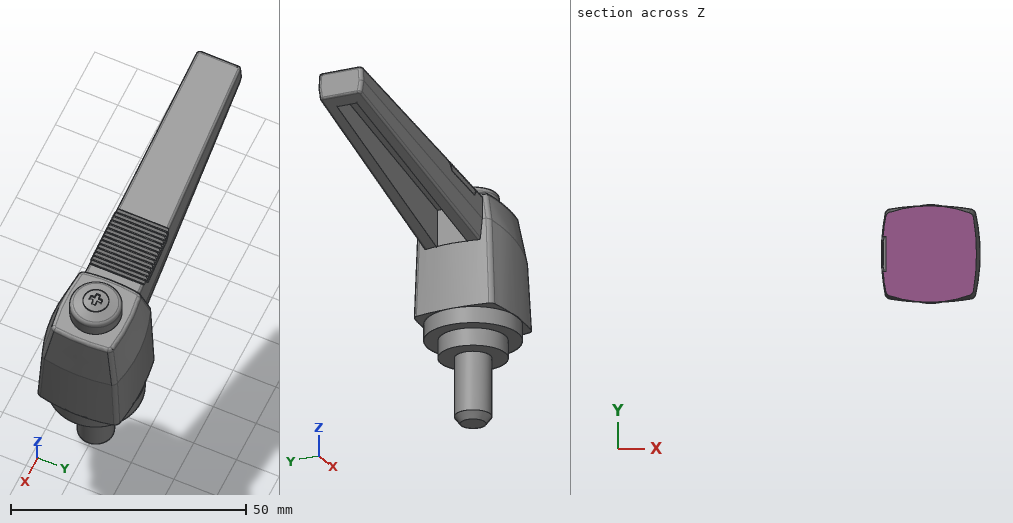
import cadquery as cq
import math


stud_diameter = 8.0
stud_tip_diameter = 5.5
stud_chamfer_height = 1.6
collar_diameter = 15.0
collar_bottom_z = 15.0
flange_diameter = 21.0
flange_bottom_z = 18.95
flange_top_z = 22.65

total_length = 73.5
tip_x = flange_diameter / 2 - total_length
root_x = -3.7
tip_top_z = 58.7
tip_parting_z = 55.6
tip_bottom_z = 52.7
top_slope = 0.196
parting_slope = 0.25
bottom_slope = 0.287
tip_half_widths = {"top": 5.1, "parting": 5.3, "bottom": 4.85}
root_half_widths = {"top": 6.5, "parting": 7.3, "bottom": 6.8}
lever_fillet = 0.5
tip_corner_fillet = 0.8

pocket_tip_x = -59.7
pocket_end_x = -9.55
pocket_tip_half_width = 2.35
pocket_end_half_width = 3.7
pocket_roof = 2.2
pocket_overcut = 1.5

grip_start_x = -23.95
grip_end_x = -10.45
tooth_count = 14
tooth_crest_drop = 0.15
tooth_root_drop = 0.6
pad_start_x = -23.5
pad_end_x = -11.2
pad_depth = 2.05
pad_end_run = 1.1
pad_side_offset = 0.3
pad_chamfer_height = 0.7
pad_chamfer_width = 0.45

head_bottom = {
    "left": -9.7, "right": 9.55, "half_width": 9.55,
    "mid_left": -10.5, "mid_right": 10.5, "mid_half_width": 10.3,
}
head_parting = {
    "left": -9.55, "right": 9.1, "half_width": 8.8,
    "mid_left": -10.3, "mid_right": 9.8, "mid_half_width": 10.3,
}
head_top = {
    "left": -7.95, "right": 7.65, "half_width": 7.1,
    "mid_left": -8.4, "mid_right": 8.0, "mid_half_width": 7.65,
}
head_corner_reach = 0.95
head_corner_inset = 0.37
head_fillet = 0.9
head_top_z = 48.65
head_top_slope = 0.055

button_diameter = 11.2
button_bottom_z = 44.1
button_shoulder_z = 51.1
button_crown_z = 52.2
button_crown_diameter = 9.7
insert_diameter = 5.5
insert_base_z = 52.85
insert_edge_z = 53.1
insert_top_z = 54.0
cross_length = 2.7
cross_width = 0.9
cross_depth = 0.9


def lever_top_z(x):
    return tip_top_z - top_slope * (x - tip_x)


def parting_z(x):
    return tip_parting_z - parting_slope * (x - tip_x)


def lever_bottom_z(x):
    return tip_bottom_z - bottom_slope * (x - tip_x)


def head_roof_z(x):
    return head_top_z - head_top_slope * x


def lever_section(x, half_widths):
    """Six-sided section across the lever, widest at the parting line."""
    right_side = [
        (half_widths["bottom"], lever_bottom_z(x)),
        (half_widths["parting"], parting_z(x)),
        (half_widths["top"], lever_top_z(x)),
    ]
    left_side = [(-y, z) for y, z in reversed(right_side)]
    points = [cq.Vector(x, y, z) for y, z in right_side + left_side]
    return cq.Wire.makePolygon(points, close=True)


def make_lever():
    """Solid lever without its grip and pocket."""
    tip = lever_section(tip_x, tip_half_widths)
    root = lever_section(root_x, root_half_widths)
    lever = cq.Workplane(cq.Solid.makeLoft([tip, root], True))
    upright_tip_edges = lever.faces("<X").edges("not |Y")
    lever = upright_tip_edges.fillet(tip_corner_fillet)
    edge_tolerance = 0.15
    outline_edges = []
    for edge in lever.edges().vals():
        middle = edge.Center()
        above_bottom = middle.z - lever_bottom_z(middle.x)
        below_top = lever_top_z(middle.x) - middle.z
        if middle.x < root_x - 0.7 and min(above_bottom, below_top) < edge_tolerance:
            outline_edges.append(edge)
    return lever.newObject(outline_edges).fillet(lever_fillet)


def make_pocket():
    """Tapered pocket, open at the underside of the lever and ending just inside the head."""
    plan = (
        cq.Workplane("XY")
        .polyline([
            (pocket_tip_x, -pocket_tip_half_width),
            (pocket_end_x, -pocket_end_half_width),
            (pocket_end_x, pocket_end_half_width),
            (pocket_tip_x, pocket_tip_half_width),
        ])
        .close()
        .extrude(tip_top_z)
    )
    side = (
        cq.Workplane("XZ")
        .polyline([
            (pocket_tip_x, lever_bottom_z(pocket_tip_x) - pocket_overcut),
            (pocket_tip_x, lever_top_z(pocket_tip_x) - pocket_roof),
            (pocket_end_x, lever_top_z(pocket_end_x) - pocket_roof),
            (pocket_end_x, lever_bottom_z(pocket_end_x)),
        ])
        .close()
        .extrude(flange_diameter / 2, both=True)
    )
    return plan.intersect(side)


def head_section(size, height):
    """Outline with four bowed sides and rounded corners, lying on the surface z = height(x)."""
    left, right, half_width = size["left"], size["right"], size["half_width"]
    r = head_corner_reach
    inset = head_corner_inset * r
    outline = [
        (left + r, -half_width),
        (0, -size["mid_half_width"]),
        (right - r, -half_width),
        (right - inset, -half_width + inset),
        (right, -half_width + r),
        (size["mid_right"], 0),
        (right, half_width - r),
        (right - inset, half_width - inset),
        (right - r, half_width),
        (0, size["mid_half_width"]),
        (left + r, half_width),
        (left + inset, half_width - inset),
        (left, half_width - r),
        (size["mid_left"], 0),
        (left, -half_width + r),
        (left + inset, -half_width + inset),
    ]
    points = [cq.Vector(x, y, height(x)) for x, y in outline]
    points.append(points[0])
    arcs = [cq.Edge.makeThreePointArc(*points[i:i + 3]) for i in range(0, len(outline), 2)]
    return cq.Wire.assembleEdges(arcs)


def make_head():
    """Tapered head that bends inward above the parting line."""
    bottom = head_section(head_bottom, lambda x: flange_top_z)
    parting = head_section(head_parting, parting_z)
    top = head_section(head_top, head_roof_z)
    head = cq.Workplane(cq.Solid.makeLoft([bottom, parting, top], True))
    return head.faces(">Z").edges().fillet(head_fillet)


def make_grip_pad():
    """Straight-sided block flush with the lever top, with slanted ends."""

    def half_width(x):
        share = (x - tip_x) / (root_x - tip_x)
        top = tip_half_widths["top"] + share * (root_half_widths["top"] - tip_half_widths["top"])
        return top + pad_side_offset

    plan = (
        cq.Workplane("XY")
        .polyline([
            (pad_start_x, -half_width(pad_start_x)),
            (pad_end_x, -half_width(pad_end_x)),
            (pad_end_x, half_width(pad_end_x)),
            (pad_start_x, half_width(pad_start_x)),
        ])
        .close()
        .extrude(tip_top_z)
    )
    bottom_start_x = pad_start_x + pad_end_run
    bottom_end_x = pad_end_x - pad_end_run
    side = (
        cq.Workplane("XZ")
        .polyline([
            (pad_start_x, lever_top_z(pad_start_x)),
            (pad_end_x, lever_top_z(pad_end_x)),
            (bottom_end_x, lever_top_z(bottom_end_x) - pad_depth),
            (bottom_start_x, lever_top_z(bottom_start_x) - pad_depth),
        ])
        .close()
        .extrude(flange_diameter / 2, both=True)
    )
    pad = plan.intersect(side)
    top_face = cq.selectors.DirectionMinMaxSelector(cq.Vector(top_slope, 0, 1))
    return pad.faces(top_face).edges("not |Y").chamfer(pad_chamfer_height, pad_chamfer_width)


def make_tooth_gaps():
    """Cutter with a saw-toothed underside that leaves the crosswise grip teeth."""
    pitch = (grip_end_x - grip_start_x) / tooth_count
    profile = [(grip_end_x, tip_top_z), (grip_start_x, tip_top_z)]
    for i in range(tooth_count):
        start_x = grip_start_x + i * pitch
        root_point_x = start_x + pitch / 2
        profile.append((start_x, lever_top_z(start_x) - tooth_crest_drop))
        profile.append((root_point_x, lever_top_z(root_point_x) - tooth_root_drop))
    profile.append((grip_end_x, lever_top_z(grip_end_x) - tooth_crest_drop))
    return cq.Workplane("XZ").polyline(profile).close().extrude(flange_diameter / 2, both=True)


def make_stud_and_flange():
    """Turned stud with its collar and flange."""
    profile = [
        (0, 0),
        (stud_tip_diameter / 2, 0),
        (stud_diameter / 2, stud_chamfer_height),
        (stud_diameter / 2, collar_bottom_z),
        (collar_diameter / 2, collar_bottom_z),
        (collar_diameter / 2, flange_bottom_z),
        (flange_diameter / 2, flange_bottom_z),
        (flange_diameter / 2, flange_top_z),
        (0, flange_top_z),
    ]
    return cq.Workplane("XZ").polyline(profile).close().revolve(360, (0, 0), (0, 1))


def make_button():
    """Turned button with a crossed screw recess in its raised middle."""
    button_radius = button_diameter / 2
    crown_radius = button_crown_diameter / 2
    shoulder_point = (
        crown_radius + (button_radius - crown_radius) * math.sqrt(0.5),
        button_crown_z - (button_crown_z - button_shoulder_z) * (1 - math.sqrt(0.5)),
    )
    button = (
        cq.Workplane("XZ")
        .moveTo(0, button_bottom_z)
        .lineTo(button_radius, button_bottom_z)
        .lineTo(button_radius, button_shoulder_z)
        .threePointArc(shoulder_point, (crown_radius, button_crown_z))
        .lineTo(insert_diameter / 2, insert_base_z)
        .lineTo(insert_diameter / 2, insert_edge_z)
        .lineTo(0, insert_top_z)
        .close()
        .revolve(360, (0, 0), (0, 1))
    )
    cross = (
        cq.Workplane("XY", origin=(0, 0, insert_top_z - cross_depth))
        .rect(cross_length, cross_width)
        .extrude(cross_depth)
    )
    cross = cross.union(cross.rotate((0, 0, 0), (0, 0, 1), 90))
    return button.cut(cross)


lever = make_lever().union(make_grip_pad()).cut(make_tooth_gaps())
head_and_lever = make_head().union(lever).cut(make_pocket())
result = make_stud_and_flange().union(head_and_lever).union(make_button())